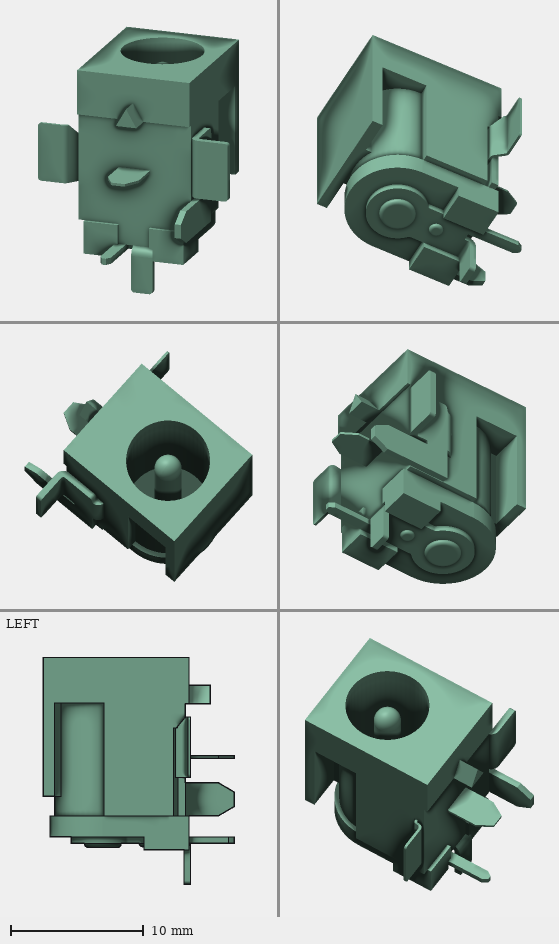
import cadquery as cq
import math


BODY_WIDTH = 9.0
BODY_HALF = BODY_WIDTH / 2
BACK_Y = BODY_HALF
FRONT_Y = -6.5
FACE_Y = -6.2
COLLAR_BOTTOM = -3.5
BODY_BOTTOM = -11.94
FLANGE_BOTTOM = -13.51
FOOT_BOTTOM = -14.5
BORE_RADIUS = 3.16
BARREL_RADIUS = 3.65
FLANGE_RADIUS = 4.0
NOTCH_TOP = -3.44
NOTCH_FRONT_Y = -0.1
BACK_WALL_BOTTOM = -10.47
BACK_RIB_HALF = 1.81
FOOT_BACK_Y = -3.1
RELIEF_HALF = 1.25
KEY_TOP = -2.09
KEY_LENGTH = 1.6
KEY_HALF = (KEY_TOP - COLLAR_BOTTOM) / math.sqrt(3)

TAB_HALF_SPAN = 15.2 / 2
TAB_FACE_Y = -6.6
TAB_TOP = -4.48
TAB_BOTTOM = -9.06
TAB_CORNER = 0.25
BLADE_TIP_Y = -9.9
BLADE_WIDTH = 2.5
BLADE_TIP_WIDTH = 1.1
BLADE_TIP_LENGTH = 1.2
PLATE = 0.5
BEND_INNER = 0.2
BEND_OUTER = BEND_INNER + PLATE

PIN_RADIUS = 1.03
PIN_TOP = -0.9
RIVET_RADIUS = 1.39
RIVET_HEIGHT = 0.32
RIVET_EDGE = 0.3
STUD_RADIUS = 0.55
STUD_Y = -3.28
STUD_HEIGHT = 0.25
STUD_EDGE = 0.24
PAD_RADIUS = 2.4
NECK_HALF = 1.55
NECK_FILLET = 0.22
PRONG_WIDTH = 0.85
PRONG_TIP_WIDTH = 0.3
PRONG_TIP_LENGTH = 0.43
LEG_WIDTH = 1.7
LEG_BOTTOM = -17.1
LEG_SLOT_END_Y = -5.65

SIDE_GAP = 0.05
SIDE_INNER_X = BODY_HALF + SIDE_GAP
SIDE_OUTER_X = SIDE_INNER_X + PLATE
LUG_BACK_Y = -2.5
LUG_INNER_X = 3.68
LUG_STEP_RADIUS = 0.27
LUG_STEP_RUN = 0.03
LUG_STEP_DROP = 0.74
SIDE_SLOT_RADIUS = 0.17
SIDE_SLOT_END_Y = -4.96

SPRING = 0.2
SPRING_FACE_Y = -5.66
SPRING_TOP = -5.3
SPRING_BEND_INNER = 0.2
SPRING_TAB_BEND_X = -5.39
SPRING_SLOT_BEND_X = -4.65
SPRING_CHAMFER_START = 0.3
SPRING_BLADE_TOP = -7.4
SPRING_SLOT_BACK_Y = -5.3
SPRING_INNER_X = BLADE_WIDTH / 2


def block(x0, x1, y0, y1, z0, z1):
    """Axis-aligned box between pairs of limits, given in either order."""
    size = (abs(x1 - x0), abs(y1 - y0), abs(z1 - z0))
    middle = ((x0 + x1) / 2, (y0 + y1) / 2, (z0 + z1) / 2)
    return cq.Workplane("XY").box(*size).translate(middle)


def cylinder(radius, z_bottom, z_top, y=0):
    """Upright cylinder centred on X = 0."""
    return cq.Workplane("XY", origin=(0, y, z_bottom)).circle(radius).extrude(z_top - z_bottom)


def upright_edges(points):
    """Selector for the vertical edges that pass through the given (x, y) points."""
    reach = 0.02
    selector = None
    for x, y in points:
        box = cq.selectors.BoxSelector((x - reach, y - reach, LEG_BOTTOM), (x + reach, y + reach, 0))
        selector = box if selector is None else selector + box
    return cq.selectors.ParallelDirSelector(cq.Vector(0, 0, 1)) & selector


def blade(width, tip_width, tip_length, root_y, thickness):
    """Flat tapered blade along -Y, centred on X = 0 and Z = 0."""
    shoulder_y = BLADE_TIP_Y + tip_length
    outline = [
        (-width / 2, root_y),
        (-width / 2, shoulder_y),
        (-tip_width / 2, BLADE_TIP_Y),
        (tip_width / 2, BLADE_TIP_Y),
        (width / 2, shoulder_y),
        (width / 2, root_y),
    ]
    return cq.Workplane("XY").polyline(outline).close().extrude(thickness / 2, both=True)


def rivet_head(radius, height, edge, y):
    """Round head under the centre contact plate, with a rounded lower rim."""
    top = FLANGE_BOTTOM - PLATE
    return cylinder(radius, top - height, top, y).faces("<Z").edges().fillet(edge)


def make_housing_shell():
    half = BODY_HALF
    shell = block(-half, half, BACK_Y, FACE_Y, NOTCH_TOP, 0)
    shell = shell.union(block(-half, half, FACE_Y, FRONT_Y, COLLAR_BOTTOM, 0))

    shell = shell.union(block(-half, half, NOTCH_FRONT_Y, FACE_Y, BODY_BOTTOM, NOTCH_TOP))
    shell = shell.union(cylinder(BARREL_RADIUS, BODY_BOTTOM, NOTCH_TOP))
    shell = shell.union(
        block(-BARREL_RADIUS, BARREL_RADIUS, 0, NOTCH_FRONT_Y, BODY_BOTTOM, NOTCH_TOP)
    )
    shell = shell.union(block(-half, half, BARREL_RADIUS, BACK_Y, BACK_WALL_BOTTOM, NOTCH_TOP))
    rib = block(-BACK_RIB_HALF, BACK_RIB_HALF, 0, BARREL_RADIUS, BACK_WALL_BOTTOM, NOTCH_TOP)
    shell = shell.union(rib)

    foot_half = FLANGE_RADIUS
    shell = shell.union(cylinder(FLANGE_RADIUS, FLANGE_BOTTOM, BODY_BOTTOM))
    shell = shell.union(block(-foot_half, foot_half, 0, FRONT_Y, FLANGE_BOTTOM, BODY_BOTTOM))
    shell = shell.union(block(-foot_half, foot_half, FOOT_BACK_Y, FRONT_Y, FOOT_BOTTOM, FLANGE_BOTTOM))
    return shell


def make_key():
    """Triangular locating key on the collar."""
    return (
        cq.Workplane("XZ", origin=(0, FRONT_Y, 0))
        .polyline([(-KEY_HALF, COLLAR_BOTTOM), (0, KEY_TOP), (KEY_HALF, COLLAR_BOTTOM)])
        .close()
        .extrude(KEY_LENGTH)
    )


def make_housing(contacts):
    housing = make_housing_shell().union(make_key())
    housing = housing.cut(cylinder(BORE_RADIUS, BODY_BOTTOM, 0))

    housing = housing.cut(block(-RELIEF_HALF, RELIEF_HALF, FACE_Y, FRONT_Y, FLANGE_BOTTOM, BODY_BOTTOM))
    housing = housing.cut(block(-NECK_HALF, NECK_HALF, FOOT_BACK_Y, FRONT_Y, FOOT_BOTTOM, FLANGE_BOTTOM))

    housing = housing.cut(
        block(-BODY_HALF, SPRING_INNER_X, SPRING_SLOT_BACK_Y, SPRING_FACE_Y, BODY_BOTTOM, SPRING_TOP)
    )

    for contact in contacts:
        housing = housing.cut(contact)
    return housing


def make_pin():
    pin = cylinder(PIN_RADIUS, FLANGE_BOTTOM, PIN_TOP - PIN_RADIUS)
    dome = cq.Workplane("XY").sphere(PIN_RADIUS).translate((0, 0, PIN_TOP - PIN_RADIUS))
    return pin.union(dome)


def make_centre_plate():
    plate_bottom = FLANGE_BOTTOM - PLATE
    bend_y = TAB_FACE_Y + BEND_OUTER
    plate = cylinder(PAD_RADIUS, plate_bottom, FLANGE_BOTTOM)
    plate = plate.union(block(-NECK_HALF, NECK_HALF, 0, LEG_SLOT_END_Y, plate_bottom, FLANGE_BOTTOM))
    neck_corner_y = -math.sqrt(PAD_RADIUS**2 - NECK_HALF**2)
    neck_corners = [(-NECK_HALF, neck_corner_y), (NECK_HALF, neck_corner_y)]
    plate = plate.edges(upright_edges(neck_corners)).fillet(NECK_FILLET)

    leg_left = NECK_HALF - LEG_WIDTH
    leg_back_y = TAB_FACE_Y + PLATE
    leg = (
        cq.Workplane("YZ", origin=(leg_left, 0, 0))
        .moveTo(LEG_SLOT_END_Y, FLANGE_BOTTOM)
        .lineTo(bend_y, FLANGE_BOTTOM)
        .radiusArc((TAB_FACE_Y, FLANGE_BOTTOM - BEND_OUTER), -BEND_OUTER)
        .lineTo(TAB_FACE_Y, LEG_BOTTOM)
        .lineTo(leg_back_y, LEG_BOTTOM)
        .lineTo(leg_back_y, FLANGE_BOTTOM - BEND_OUTER)
        .radiusArc((bend_y, plate_bottom), BEND_INNER)
        .lineTo(LEG_SLOT_END_Y, plate_bottom)
        .close()
        .extrude(LEG_WIDTH)
    )
    leg = leg.faces("<Z").edges("|Y").fillet(TAB_CORNER)
    return plate.union(leg)


def make_centre_contact():
    prong = blade(PRONG_WIDTH, PRONG_TIP_WIDTH, PRONG_TIP_LENGTH, LEG_SLOT_END_Y, PLATE)
    prong = prong.translate((PRONG_WIDTH / 2 - NECK_HALF, 0, FLANGE_BOTTOM - PLATE / 2))
    return (
        make_pin()
        .union(make_centre_plate())
        .union(prong)
        .union(rivet_head(RIVET_RADIUS, RIVET_HEIGHT, RIVET_EDGE, 0))
        .union(rivet_head(STUD_RADIUS, STUD_HEIGHT, STUD_EDGE, STUD_Y))
    )


def make_side_strip():
    """Folded strip that runs from the lug in the housing along the side to the solder tab."""
    lug_front_y = LUG_BACK_Y - PLATE
    lug_bend_x = SIDE_OUTER_X - BEND_OUTER
    lug_bend_y = LUG_BACK_Y - BEND_OUTER
    tab_bend_x = SIDE_INNER_X + BEND_OUTER
    tab_bend_y = TAB_FACE_Y + BEND_OUTER
    strip = (
        cq.Workplane("XY", origin=(0, 0, TAB_BOTTOM))
        .moveTo(LUG_INNER_X, LUG_BACK_Y)
        .lineTo(lug_bend_x, LUG_BACK_Y)
        .radiusArc((SIDE_OUTER_X, lug_bend_y), BEND_OUTER)
        .lineTo(SIDE_OUTER_X, tab_bend_y)
        .radiusArc((tab_bend_x, TAB_FACE_Y + PLATE), -BEND_INNER)
        .lineTo(TAB_HALF_SPAN, TAB_FACE_Y + PLATE)
        .lineTo(TAB_HALF_SPAN, TAB_FACE_Y)
        .lineTo(tab_bend_x, TAB_FACE_Y)
        .radiusArc((SIDE_INNER_X, tab_bend_y), BEND_OUTER)
        .lineTo(SIDE_INNER_X, lug_bend_y)
        .radiusArc((lug_bend_x, lug_front_y), -BEND_INNER)
        .lineTo(LUG_INNER_X, lug_front_y)
        .close()
        .extrude(TAB_TOP - TAB_BOTTOM)
    )
    return strip.faces(">X").edges("|Y").fillet(TAB_CORNER)


def make_lug_step():
    """Space above the lug, whose upper edge drops from the plate in an S-curve."""
    radius = LUG_STEP_RADIUS
    middle_y = LUG_BACK_Y - BEND_OUTER
    upper_y = middle_y - LUG_STEP_RUN / 2
    lower_y = middle_y + LUG_STEP_RUN / 2
    step_bottom = TAB_TOP - LUG_STEP_DROP
    return (
        cq.Workplane("YZ", origin=(LUG_INNER_X, 0, 0))
        .moveTo(upper_y - radius, TAB_TOP)
        .radiusArc((upper_y, TAB_TOP - radius), radius)
        .lineTo(lower_y, step_bottom + radius)
        .radiusArc((lower_y + radius, step_bottom), -radius)
        .lineTo(LUG_BACK_Y, step_bottom)
        .lineTo(LUG_BACK_Y, TAB_TOP)
        .close()
        .extrude(SIDE_OUTER_X - LUG_INNER_X)
    )


def make_side_contact():
    root_y = LUG_BACK_Y - BEND_OUTER
    blade_top = BODY_BOTTOM + BLADE_WIDTH
    side_blade = (
        blade(BLADE_WIDTH, BLADE_TIP_WIDTH, BLADE_TIP_LENGTH, root_y, PLATE)
        .rotate((0, 0, 0), (0, 1, 0), 90)
        .translate((SIDE_INNER_X + PLATE / 2, 0, BODY_BOTTOM + BLADE_WIDTH / 2))
    )

    web_front_y = SIDE_SLOT_END_Y - SIDE_SLOT_RADIUS
    web = block(SIDE_INNER_X, SIDE_OUTER_X, root_y, web_front_y, blade_top, TAB_BOTTOM)
    slot = block(SIDE_INNER_X, SIDE_OUTER_X, SIDE_SLOT_END_Y, BLADE_TIP_Y, blade_top, TAB_BOTTOM)
    slot = slot.faces(">Y").edges("|X").fillet(SIDE_SLOT_RADIUS)

    strip = make_side_strip().cut(make_lug_step())
    return strip.union(web.cut(slot)).union(side_blade)


def make_spring_contact():
    bend_angle = math.atan2(SPRING_FACE_Y - TAB_FACE_Y, SPRING_SLOT_BEND_X - SPRING_TAB_BEND_X)
    miter = SPRING * math.tan(bend_angle / 2)
    outline = [
        (-TAB_HALF_SPAN, TAB_FACE_Y),
        (SPRING_TAB_BEND_X, TAB_FACE_Y),
        (SPRING_SLOT_BEND_X, SPRING_FACE_Y),
        (SPRING_INNER_X, SPRING_FACE_Y),
        (SPRING_INNER_X, SPRING_FACE_Y + SPRING),
        (SPRING_SLOT_BEND_X - miter, SPRING_FACE_Y + SPRING),
        (SPRING_TAB_BEND_X - miter, TAB_FACE_Y + SPRING),
        (-TAB_HALF_SPAN, TAB_FACE_Y + SPRING),
    ]
    strip = (
        cq.Workplane("XY", origin=(0, 0, TAB_BOTTOM))
        .polyline(outline)
        .close()
        .extrude(TAB_TOP - TAB_BOTTOM)
    )
    strip = strip.faces("<X").edges("|Y").fillet(TAB_CORNER)

    outer_bends = [outline[1], outline[5]]
    inner_bends = [outline[2], outline[6]]
    strip = strip.edges(upright_edges(outer_bends)).fillet(SPRING_BEND_INNER + SPRING)
    strip = strip.edges(upright_edges(inner_bends)).fillet(SPRING_BEND_INNER)

    slope_length = math.hypot(SPRING_SLOT_BEND_X - SPRING_TAB_BEND_X, SPRING_FACE_Y - TAB_FACE_Y)
    slope_plane = cq.Plane(
        origin=(SPRING_TAB_BEND_X, TAB_FACE_Y, 0),
        xDir=(math.cos(bend_angle), math.sin(bend_angle), 0),
        normal=(math.sin(bend_angle), -math.cos(bend_angle), 0),
    )
    slope = (
        cq.Workplane(slope_plane)
        .polyline([
            (SPRING_CHAMFER_START, TAB_TOP),
            (slope_length, SPRING_TOP),
            (slope_length + miter, SPRING_TOP),
            (slope_length + miter, TAB_TOP),
        ])
        .close()
        .extrude(-SPRING)
    )
    inner_start = SPRING_SLOT_BEND_X - miter
    inner_back_y = SPRING_FACE_Y + SPRING
    inner_top = block(inner_start, SPRING_INNER_X, TAB_FACE_Y, inner_back_y, SPRING_TOP, TAB_TOP)
    strip = strip.cut(slope).cut(inner_top)

    thin_blade = blade(BLADE_WIDTH, BLADE_TIP_WIDTH, BLADE_TIP_LENGTH, SPRING_FACE_Y, SPRING)
    thin_blade = thin_blade.translate((0, 0, SPRING_BLADE_TOP - SPRING / 2))
    return strip.union(thin_blade)


centre_contact = make_centre_contact()
side_contact = make_side_contact()
spring_contact = make_spring_contact()
housing = make_housing([centre_contact, side_contact, spring_contact])

result = cq.Compound.makeCompound([
    housing.val(),
    centre_contact.val(),
    side_contact.val(),
    spring_contact.val(),
])